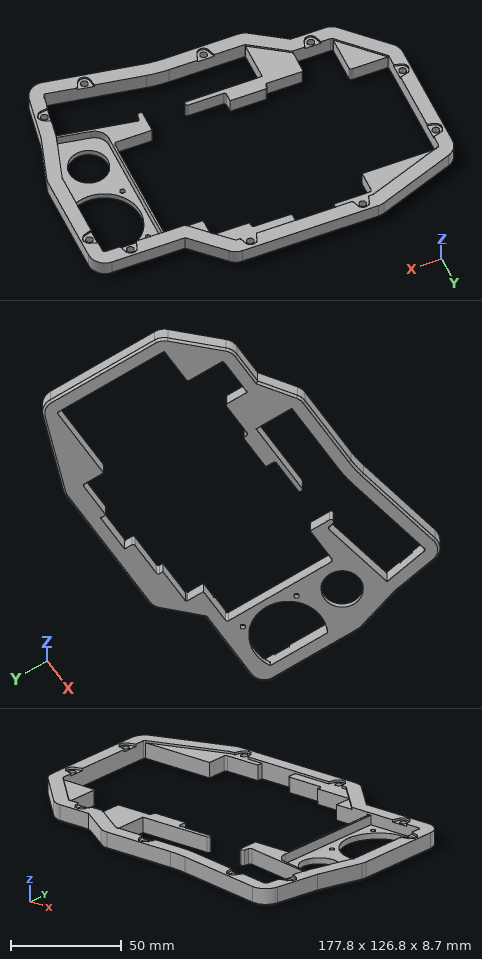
import cadquery as cq
import math

frame_height = 8.7
ledge_step = 1.0
ledge_height = frame_height - ledge_step
plate_thickness = 3.0
bottom_chamfer = 1.0

length = 177.8
wall = 7.0
corner_radius = 8.0
bend_radius = 53.4
top_y = 117.7
right_top_y = 100.5
left_top_y = 101.2
left_bottom_y = 35.7
left_foot_y = 12.1
tilt = math.radians(10)
bend_x = 106.2
tilted_end_x = 164.9
lower_right_y = -(tilted_end_x - bend_x) * math.tan(tilt)
elbow_y = 21.2
elbow_x = tilted_end_x + (elbow_y - lower_right_y) * math.tan(tilt)
right_bottom_y = 45.2
slope_start_x = 116.1
slope_end_x = 133.7
left_foot_x = left_bottom_y - left_foot_y
left_foot_end_x = 43.8
bottom_start_x = 61.9
top_start_x = 44.5

inner_left = wall
inner_right = length - wall
inner_top = top_y - wall
inner_right_top = right_top_y - wall
overlap = wall / 2

small_radius = 1.0
bar_width = 2.3
tip_radius = 1.0
bar_end_x = 102.5
bar_top_y = 28.6
bar_bottom_y = bar_top_y - bar_width
bar_start_x = 63.8
upper_left_y = 96.5
upper_left_right = 45.0
upper_tab_y = 108.0
upper_tab_right = 63.8
upper_middle_left = 83.5
upper_middle_y = 105.8
upper_step_x = 103.0
upper_step_y = 103.0
upper_right_left = 121.8
lower_left_y = 38.5
lower_left_right = 26.0
lower_middle_left = 45.5
lower_middle_y = 31.0
lower_tab_left = 64.4
lower_tab_right = 82.9
lower_tab_y = 33.8

rim = 1.0
plate_left = 140.9
arm_left = 122.0
arm_top_y = 35.7
arm_bottom_y = 28.3
hook_bottom_y = 24.0
hook_width = 3.2
hook_right = arm_left + hook_width
hook_lean = (arm_bottom_y - hook_bottom_y) * math.tan(tilt)
pocket_radius = 7.1
plate_right = elbow_x - overlap
large_hole = (162.2, 74.3, 35.5)
round_hole = (155.5, 40.5, 19.0)
pin_hole_diameter = 2.3
pin_hole_x = 147.0
pin_hole_ys = (89.0, 59.8)

screw_diameter = 3.4
screw_depth = 5.3
seat_radius = 3.0
seat_flare = math.radians(18)
seat_reach = 2.8
side_inset = 4.3
top_inset = 4.6
screws = [
    (51.8, top_y - top_inset, -90),
    (107.0, top_y - top_inset, -90),
    (158.8, right_top_y - side_inset, -90),
    (length - side_inset, 83.6, 180),
    (side_inset, 86.5, 0),
    (side_inset, 48.4, 0),
    (35.7, left_foot_y + top_inset, 90),
    (83.2, side_inset, 90),
    (139.5, -1.5, 80),
    (163.8, 9.5, 170),
]


def outline(corners):
    """Closed wire through (x, y, radius) corners, rounded where the radius is not 0."""
    path = None
    for i, (x, y, radius) in enumerate(corners):
        before, after = corners[i - 1], corners[(i + 1) % len(corners)]
        angle_in = math.atan2(before[1] - y, before[0] - x)
        angle_out = math.atan2(after[1] - y, after[0] - x)
        half = (angle_out - angle_in) / 2
        middle = angle_in + half
        setback = radius / abs(math.tan(half))
        start = (x + setback * math.cos(angle_in), y + setback * math.sin(angle_in))
        end = (x + setback * math.cos(angle_out), y + setback * math.sin(angle_out))
        sag = radius / abs(math.sin(half)) - radius
        side = math.copysign(1, math.cos(half))
        summit = (x + side * sag * math.cos(middle), y + side * sag * math.sin(middle))
        path = cq.Workplane("XY").moveTo(*start) if path is None else path.lineTo(*start)
        if radius > 0:
            path = path.threePointArc(summit, end)
    return path.close()


def prism(corners, height):
    return outline(corners).extrude(height)


def cylinder(x, y, diameter, bottom, height):
    return cq.Workplane("XY", origin=(x, y, bottom)).circle(diameter / 2).extrude(height)


def frame():
    """Ring of constant wall with a chamfered lower outer edge."""
    r = corner_radius
    corners = [
        (0, left_bottom_y, r),
        (0, left_top_y, r),
        (top_start_x, top_y, r),
        (slope_start_x, top_y, r),
        (slope_end_x, right_top_y, 0),
        (length, right_top_y, r),
        (length, right_bottom_y, r),
        (elbow_x, elbow_y, 0),
        (tilted_end_x, lower_right_y, r),
        (bend_x, 0, bend_radius),
        (bottom_start_x, 0, r),
        (left_foot_end_x, left_foot_y, 0),
        (left_foot_x, left_foot_y, r),
    ]
    body = prism(corners, frame_height).faces("<Z").edges().chamfer(bottom_chamfer)
    opening = outline(corners).offset2D(-wall, "intersection").extrude(frame_height)
    return body.cut(opening)


def ledges():
    """Ledges on the inside of the frame, each run into the wall that carries it."""
    r = small_radius
    top = inner_top + overlap
    upper_left = [
        (inner_left, upper_left_y, 0),
        (upper_left_right, upper_left_y, 0),
        (upper_left_right, upper_tab_y, r),
        (upper_tab_right, upper_tab_y, 0),
        (upper_tab_right, top, 0),
        (top_start_x, top, 0),
        (overlap, left_top_y - overlap, 0),
    ]
    upper_middle = [
        (upper_middle_left, top, 0),
        (upper_middle_left, upper_middle_y, r),
        (upper_step_x, upper_middle_y, r),
        (upper_step_x, upper_step_y, 0),
        (upper_right_left + overlap, upper_step_y, 0),
        (slope_start_x - overlap, top, 0),
    ]
    upper_right = [
        (upper_right_left, upper_step_y + overlap, 0),
        (upper_right_left, inner_right_top, 0),
        (slope_end_x, inner_right_top, 0),
        (slope_end_x, inner_right_top + overlap, 0),
    ]
    lower_left = [
        (inner_left, lower_left_y, 0),
        (lower_left_right, lower_left_y, r),
        (lower_left_right, left_foot_y + overlap, 0),
        (overlap, left_bottom_y + overlap / 2, 0),
    ]
    lower_middle = [
        (lower_middle_left, left_foot_y + overlap, 0),
        (lower_middle_left, lower_middle_y, r),
        (lower_tab_left, lower_middle_y, r),
        (lower_tab_left, lower_tab_y, r),
        (lower_tab_right, lower_tab_y, 0),
        (lower_tab_right, bar_top_y, r),
        (bar_end_x, bar_top_y, tip_radius),
        (bar_end_x, bar_bottom_y, tip_radius),
        (bar_start_x, bar_bottom_y, 0),
        (bar_start_x, overlap, 0),
    ]
    parts = [upper_left, upper_middle, upper_right, lower_left, lower_middle]
    bodies = [prism(corners, ledge_height) for corners in parts]
    joined = bodies[0]
    for body in bodies[1:]:
        joined = joined.union(body)
    return joined


def arm_y(x):
    """Y of the tilted underside of the arm."""
    return arm_bottom_y - (x - hook_right) * math.tan(tilt)


def speaker_plate():
    """Plate between the frame and the arm, sunk behind a thin rim, with its holes."""
    r = small_radius
    back = inner_right_top + overlap
    right = inner_right + overlap
    corner_start = plate_left - 2 * r
    block = prism([
        (corner_start, back, 0),
        (corner_start, inner_right_top, 0),
        (plate_left, inner_right_top, r),
        (plate_left, arm_top_y, r),
        (arm_left, arm_top_y, 0),
        (arm_left, hook_bottom_y, r),
        (hook_right - hook_lean, hook_bottom_y, r),
        (hook_right, arm_bottom_y, r),
        (plate_right, arm_y(plate_right), 0),
        (right, right_bottom_y, 0),
        (right, back, 0),
    ], ledge_height)
    pocket = (
        outline([
            (plate_left + rim, back, 0),
            (plate_left + rim, arm_y(plate_left) + rim, pocket_radius),
            (plate_right, arm_y(plate_right) + rim, 0),
            (right, right_bottom_y, 0),
            (right, back, 0),
        ])
        .extrude(ledge_height - plate_thickness)
        .translate((0, 0, plate_thickness))
    )
    plate = block.cut(pocket)
    pin_holes = [(pin_hole_x, y, pin_hole_diameter) for y in pin_hole_ys]
    for x, y, diameter in [large_hole, round_hole] + pin_holes:
        plate = plate.cut(cylinder(x, y, diameter, 0, plate_thickness))
    return plate


def screw_seat(x, y, direction):
    """Flared recess open towards the inside, with a blind screw hole in its floor."""
    touch_x = -seat_radius * math.sin(seat_flare)
    touch_y = seat_radius * math.cos(seat_flare)
    mouth_y = touch_y + (seat_reach - touch_x) * math.tan(seat_flare)
    seat = (
        cq.Workplane("XY")
        .moveTo(seat_reach, -mouth_y)
        .lineTo(touch_x, -touch_y)
        .threePointArc((-seat_radius, 0), (touch_x, touch_y))
        .lineTo(seat_reach, mouth_y)
        .close()
        .extrude(ledge_step)
        .rotate((0, 0, 0), (0, 0, 1), direction)
        .translate((x, y, ledge_height))
    )
    return seat.union(cylinder(x, y, screw_diameter, ledge_height - screw_depth, screw_depth))


result = frame().union(speaker_plate()).union(ledges())
for screw_x, screw_y, inward in screws:
    result = result.cut(screw_seat(screw_x, screw_y, inward))